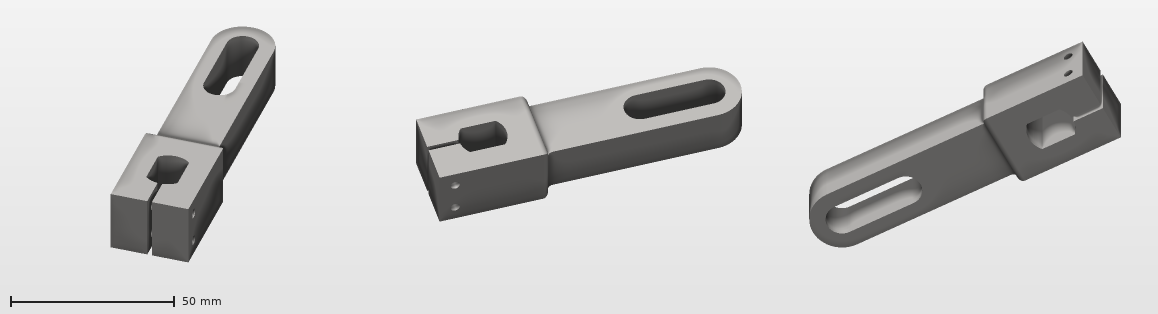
import cadquery as cq
import math

total_length = 99.5
arm_width = 20.0
arm_thickness = 15.0
arm_radius = arm_width / 2

head_width = 25.0
head_length = 35.0
head_height = 20.0
shoulder_radius = 2.0
neck_radius = 2.0

slot_width = 10.0
slot_length = 32.0
slot_end_wall = 5.0

bore_diameter = 15.0
bore_flat_width = 10.0
bore_y = head_length / 2
slit_width = 1.5

screw_diameter = 3.0
screw_y = 5.0
screw_spacing = head_height / 2


def make_head():
    """Block with its four edges on the arm side rounded."""
    block = cq.Workplane("XY").box(head_width, head_length, head_height)
    block = block.translate((0, head_length / 2, 0))
    return block.faces(">Y").edges().fillet(shoulder_radius)


def make_arm():
    """Flat bar with a round free end, rooted inside the head."""
    root_y = head_length - shoulder_radius
    round_y = total_length - arm_radius
    return (
        cq.Workplane("XY")
        .moveTo(-arm_radius, root_y)
        .lineTo(arm_radius, root_y)
        .lineTo(arm_radius, round_y)
        .threePointArc((0, total_length), (-arm_radius, round_y))
        .close()
        .extrude(arm_thickness / 2, both=True)
    )


def make_neck_fillet():
    """Concave fillet on the +X side, tangent to the arm and the rounded shoulder."""
    shoulder_x = head_width / 2 - shoulder_radius
    shoulder_y = head_length - shoulder_radius
    centre_x = arm_radius + neck_radius
    centre_distance = shoulder_radius + neck_radius
    offset_x = centre_x - shoulder_x
    offset_y = math.sqrt(centre_distance**2 - offset_x**2)
    centre_y = shoulder_y + offset_y
    contact_share = shoulder_radius / centre_distance
    contact_x = shoulder_x + offset_x * contact_share
    contact_y = shoulder_y + offset_y * contact_share

    contact_angle = math.atan2(-offset_y, -offset_x) + 2 * math.pi
    middle_angle = (math.pi + contact_angle) / 2
    middle_x = centre_x + neck_radius * math.cos(middle_angle)
    middle_y = centre_y + neck_radius * math.sin(middle_angle)
    return (
        cq.Workplane("XY")
        .moveTo(arm_radius, centre_y)
        .threePointArc((middle_x, middle_y), (contact_x, contact_y))
        .lineTo(shoulder_x, shoulder_y)
        .lineTo(arm_radius, shoulder_y)
        .close()
        .extrude(arm_thickness / 2, both=True)
    )


def make_slot():
    slot_y = total_length - slot_end_wall - slot_length / 2
    return (
        cq.Workplane("XY")
        .center(0, slot_y)
        .slot2D(slot_length, slot_width, 90)
        .extrude(head_height, both=True)
    )


def make_bore():
    """Round bore narrowed by two flats parallel to the arm."""
    bore = cq.Workplane("XY").circle(bore_diameter / 2).extrude(head_height, both=True)
    flats = cq.Workplane("XY").box(bore_flat_width, bore_diameter, 2 * head_height)
    return bore.intersect(flats).translate((0, bore_y, 0))


def make_slit():
    """Saw cut from the open end of the head into the bore."""
    slit = cq.Workplane("XY").box(slit_width, bore_y, head_height)
    return slit.translate((0, bore_y / 2, 0))


def make_screw_holes():
    half_spacing = screw_spacing / 2
    return (
        cq.Workplane("YZ")
        .pushPoints([(screw_y, -half_spacing), (screw_y, half_spacing)])
        .circle(screw_diameter / 2)
        .extrude(head_width, both=True)
    )


result = make_head().union(make_arm()).union(make_neck_fillet())
for cutter in (make_slot(), make_bore(), make_slit(), make_screw_holes()):
    result = result.cut(cutter)